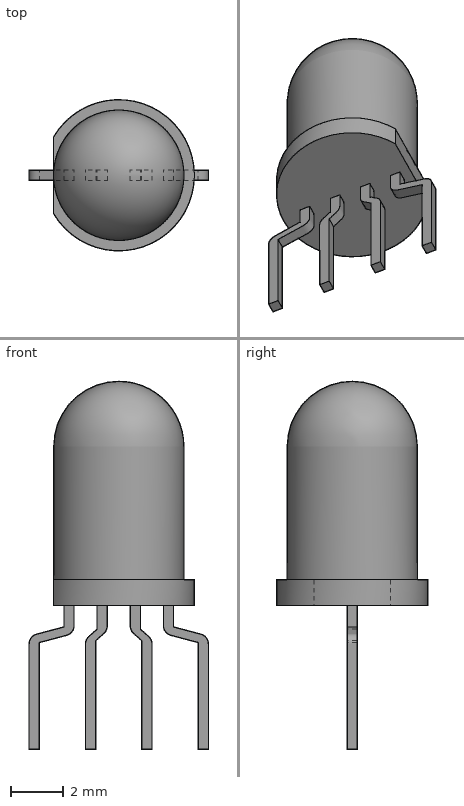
import cadquery as cq

body_diameter = 5.0
body_radius = body_diameter / 2
body_height = 8.6
dome_base_z = body_height - body_radius

flange_radius = 2.9
flange_height = 1.0
flat_x = -body_radius

lead_width = 0.4
lead_length = 5.5
bend_radius = 0.4
top_pitch = 1.27
bottom_pitch = 2.16

inner_crank_start = 0.90
inner_crank_drop = 0.395
inner_crank_skew = 0.045
outer_crank_start = 0.81
outer_crank_drop = 0.355
outer_crank_skew = 0.25


def make_lens():
    profile = (
        cq.Workplane("XZ")
        .lineTo(body_radius, 0)
        .lineTo(body_radius, dome_base_z)
        .radiusArc((0, body_height), -body_radius)
        .close()
    )
    return profile.revolve(360, (0, 0, 0), (0, 1, 0))


def make_flange():
    disc = cq.Workplane("XY").circle(flange_radius).extrude(flange_height)
    flat_cutter = cq.Workplane("XY").box(
        flange_radius, 2 * flange_radius, flange_height, centered=(False, True, False)
    ).translate((flat_x - flange_radius, 0, 0))
    return disc.cut(flat_cutter)


def make_lead(pitches_from_center, crank_start, crank_drop, crank_skew):
    """Lead on the +X side; the two convex corners of its crank are rounded."""
    half_width = lead_width / 2
    top_x = pitches_from_center * top_pitch
    bottom_x = pitches_from_center * bottom_pitch
    upper_z = -crank_start
    lower_z = upper_z - crank_drop
    upper_convex = (top_x - half_width, upper_z - crank_skew)
    lower_convex = (bottom_x + half_width, lower_z)
    lead = (
        cq.Workplane("XZ")
        .moveTo(top_x - half_width, 0)
        .lineTo(top_x + half_width, 0)
        .lineTo(top_x + half_width, upper_z)
        .lineTo(*lower_convex)
        .lineTo(bottom_x + half_width, -lead_length)
        .lineTo(bottom_x - half_width, -lead_length)
        .lineTo(bottom_x - half_width, lower_z - crank_skew)
        .lineTo(*upper_convex)
        .close()
        .extrude(half_width, both=True)
    )
    for corner_x, corner_z in (upper_convex, lower_convex):
        corner_edge = cq.selectors.NearestToPointSelector((corner_x, 0, corner_z))
        lead = lead.edges("|Y").edges(corner_edge).fillet(bend_radius)
    return lead


inner_lead = make_lead(0.5, inner_crank_start, inner_crank_drop, inner_crank_skew)
outer_lead = make_lead(1.5, outer_crank_start, outer_crank_drop, outer_crank_skew)

result = make_lens().union(make_flange())
for lead in (inner_lead, outer_lead):
    result = result.union(lead).union(lead.mirror("YZ"))